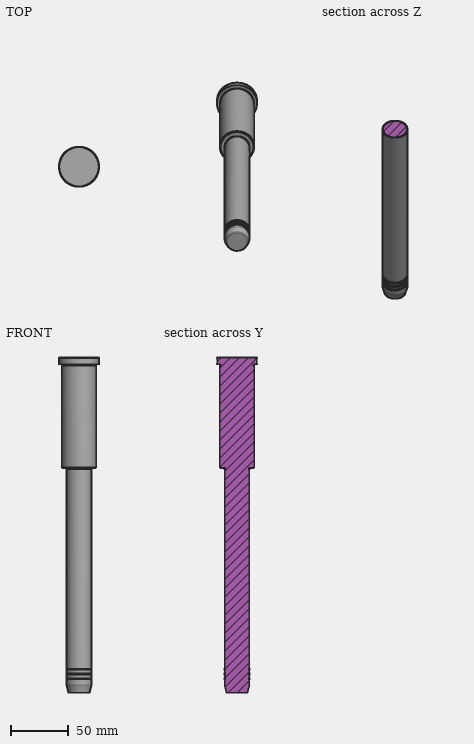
import cadquery as cq
import math

total_length = 291.0

head_diameter = 35.0
head_height = 6.0
head_chamfer = 0.5

sleeve_diameter = 30.0
sleeve_length = 90.0
sleeve_chamfer = 0.8

relief_height = 1.0
relief_depth = 0.5

shaft_diameter = 22.0

groove_count = 3
groove_width = 1.0
groove_depth = 0.6
groove_pitch = 4.0
lowest_groove_height = 12.0

tip_length = 7.0
tip_angle = 14.5
tip_fillet = 0.8

head_radius = head_diameter / 2
sleeve_radius = sleeve_diameter / 2
shaft_radius = shaft_diameter / 2
tip_radius = shaft_radius - tip_length * math.tan(math.radians(tip_angle))
head_bottom = total_length - head_height
sleeve_bottom = head_bottom - sleeve_length


def cylinder(radius, bottom, top):
    """Solid cylinder on the Z axis between two heights."""
    return cq.Workplane("XY").workplane(offset=bottom).circle(radius).extrude(top - bottom)


def ring_groove(surface_radius, depth, bottom, width):
    """Square ring that cuts a groove into a cylinder of the given radius."""
    outer = cylinder(surface_radius + depth, bottom, bottom + width)
    core = cylinder(surface_radius - depth, bottom, bottom + width)
    return outer.cut(core)


def make_head():
    """Flat head with a small chamfer around its top face."""
    head = cylinder(head_radius, head_bottom, total_length)
    return head.faces(">Z").edges().chamfer(head_chamfer)


def make_sleeve():
    """Thick guide section, chamfered below and relieved just under the head."""
    sleeve = cylinder(sleeve_radius, sleeve_bottom, head_bottom)
    sleeve = sleeve.faces("<Z").edges().chamfer(sleeve_chamfer)
    relief_bottom = head_bottom - relief_height
    return sleeve.cut(ring_groove(sleeve_radius, relief_depth, relief_bottom, relief_height))


def make_tip():
    """Tapered lead-in at the lower end, with a rounded bottom edge."""
    tip = (
        cq.Workplane("XY")
        .circle(tip_radius)
        .workplane(offset=tip_length)
        .circle(shaft_radius)
        .loft(ruled=True)
    )
    return tip.faces("<Z").edges().fillet(tip_fillet)


def make_shaft():
    """Slender shaft, relieved just under the sleeve, with even ring grooves near the tip."""
    shaft = cylinder(shaft_radius, tip_length, sleeve_bottom)
    relief_bottom = sleeve_bottom - relief_height
    shaft = shaft.cut(ring_groove(shaft_radius, relief_depth, relief_bottom, relief_height))
    for index in range(groove_count):
        groove_bottom = lowest_groove_height + index * groove_pitch
        shaft = shaft.cut(ring_groove(shaft_radius, groove_depth, groove_bottom, groove_width))
    return shaft


result = make_head().union(make_sleeve()).union(make_shaft()).union(make_tip())